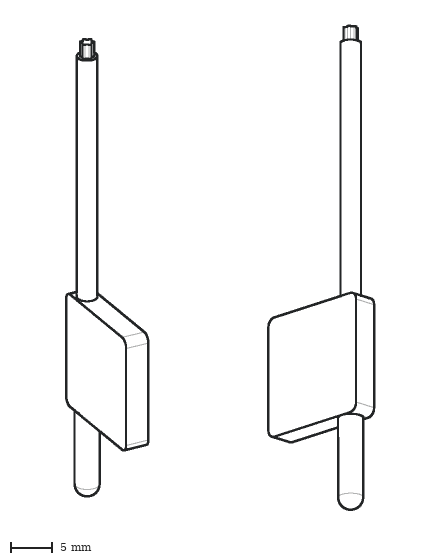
import cadquery as cq
import math

total_height = 60.5
plate_size = 15.0
plate_thickness = 3.0
plate_corner_radius = 1.0
plate_bottom = 11.5
shank_axis_x = 2.5
shaft_diameter = 2.5
pin_diameter = plate_thickness
tip_length = 1.9

lobe_count = 6
lobe_outer_diameter = 1.75
lobe_root_diameter = 1.3
lobe_round = 0.2

plate_top = plate_bottom + plate_size
tip_bottom = total_height - tip_length
pin_radius = pin_diameter / 2
lobe_outer_radius = lobe_outer_diameter / 2
lobe_root_radius = lobe_root_diameter / 2
pin_top = plate_bottom + plate_corner_radius


def polar(radius, angle):
    return (radius * math.cos(angle), radius * math.sin(angle))


def make_plate():
    return (
        cq.Workplane("XY")
        .box(plate_size, plate_thickness, plate_size, centered=(False, True, False))
        .edges("|Y")
        .fillet(plate_corner_radius)
        .translate((-shank_axis_x, 0, plate_bottom))
    )


def make_shaft():
    shaft_start = plate_top - plate_corner_radius
    return (
        cq.Workplane("XY", origin=(0, 0, shaft_start))
        .circle(shaft_diameter / 2)
        .extrude(tip_bottom - shaft_start)
    )


def make_pin():
    """Round pin with a hemispherical lower end, run up past the plate's corner rounding."""
    return (
        cq.Workplane("XZ")
        .lineTo(0, pin_top)
        .lineTo(pin_radius, pin_top)
        .lineTo(pin_radius, pin_radius)
        .threePointArc(
            (pin_radius * math.sin(math.pi / 4), pin_radius * (1 - math.cos(math.pi / 4))),
            (0, 0),
        )
        .close()
        .revolve(360, (0, 0), (0, 1))
    )


def make_tip():
    """Six-lobe prism whose convex lobes run tangentially into concave flutes."""
    half_pitch = math.pi / lobe_count
    lobe_center = lobe_outer_radius - lobe_round
    center_projection = lobe_center * math.cos(half_pitch)
    flute_round = (
        lobe_center**2 + lobe_root_radius**2 - 2 * center_projection * lobe_root_radius - lobe_round**2
    ) / (2 * (lobe_round + center_projection - lobe_root_radius))
    flute_x, flute_y = polar(lobe_root_radius + flute_round, half_pitch)

    share = lobe_round / (lobe_round + flute_round)
    joint_x = lobe_center + share * (flute_x - lobe_center)
    joint_y = share * flute_y
    joint_radius = math.hypot(joint_x, joint_y)
    joint_angle = math.atan2(joint_y, joint_x)

    profile = cq.Workplane("XY", origin=(0, 0, tip_bottom)).moveTo(*polar(joint_radius, -joint_angle))
    for index in range(lobe_count):
        lobe_angle = 2 * half_pitch * index
        flute_angle = lobe_angle + half_pitch
        next_angle = lobe_angle + 2 * half_pitch
        profile = profile.threePointArc(
            polar(lobe_outer_radius, lobe_angle), polar(joint_radius, lobe_angle + joint_angle)
        ).threePointArc(
            polar(lobe_root_radius, flute_angle), polar(joint_radius, next_angle - joint_angle)
        )
    return profile.close().extrude(tip_length)


result = make_plate().union(make_shaft()).union(make_pin()).union(make_tip())